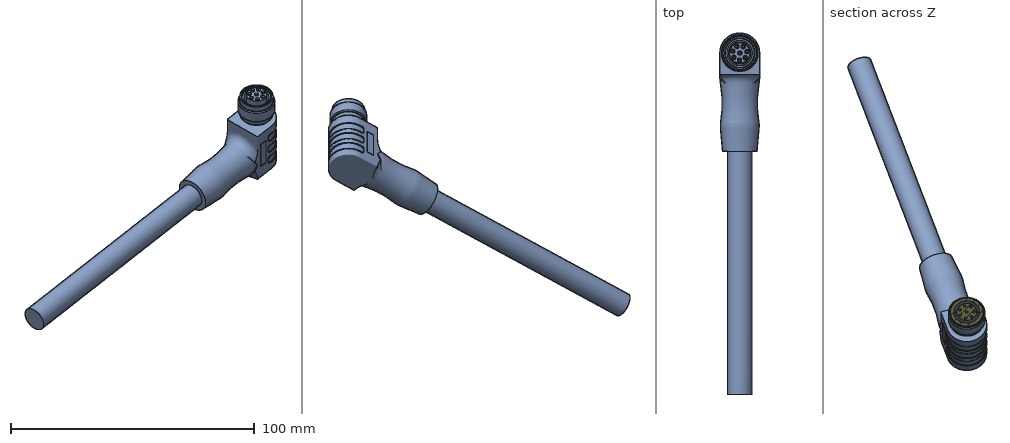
import cadquery as cq
import math

total_length = 148.5
total_height = 36.2

housing_width = 16.5
half_width = housing_width / 2
housing_height = 23.6
housing_front = -8.9
edge_round = 0.3
cable_end = half_width - total_length

grip_depth = 0.5
grip_height = 3.5
grip_pitch = 6.0
grip_middle_z = 11.6
grip_count = 3
grip_front = -2.0
grip_corner = 1.0

panel_depth = 0.1
panel_width = 3.3
panel_height = 12.2
panel_y = -5.2
panel_z = 11.9

cable_radius = 5.0
boot_radius = 8.0
boot_waist_radius = 7.3
boot_end_radius = 7.1
boot_axis_z = boot_radius
flare_radius = 3.4
flare_end = housing_front - flare_radius
flare_relief_half_height = 5.5
waist_y = -20.8
bulge_start = -29.1
bulge_end = -30.5
boot_end = -40.4

coupling_overlap = 1.5
neck_radius = 4.9
nut_foot_radius = 6.1
nut_body_radius = 6.8
nut_grip_radius = 7.5
nut_bottom = 24.5
nut_foot_top = 25.5
nut_grip_bottom = 27.3
nut_grip_top = 33.0
nut_grip_chamfer = 0.5
nut_top = 35.3

bore_radius = 5.2
bore_mouth_radius = 6.2
bore_mouth_chamfer = 0.3
bore_mouth_depth = 0.9
bore_floor = 29.4
insert_radius = 4.2
insert_base_radius = 4.6
insert_taper_top = 30.9

contact_radius = 0.5
contact_mouth_radius = 0.9
contact_depth = 4.5
contact_circle_radius = 3.0
contact_count = 7
contact_start_angle = -92.0


def housing_outline(inset):
    """Plan outline of the housing, shrunk inward by inset."""
    side = half_width - inset
    return (
        cq.Workplane("XY")
        .moveTo(-side, housing_front)
        .lineTo(side, housing_front)
        .lineTo(side, 0)
        .threePointArc((0, side), (-side, 0))
        .close()
    )


def make_housing():
    block = housing_outline(0).extrude(housing_height)
    block = block.faces("<Y").edges("|Z").fillet(edge_round)
    return block.faces("<Z").edges().fillet(edge_round)


def make_grip_grooves():
    """Round-cornered bands that bite grip_depth into the sides and back."""
    core = housing_outline(grip_depth).extrude(housing_height)
    back = half_width + 2 * grip_corner
    groove_length = back - grip_front
    levels = [
        (0, (index - (grip_count - 1) / 2) * grip_pitch)
        for index in range(grip_count)
    ]
    bands = (
        cq.Workplane("YZ")
        .center((back + grip_front) / 2, grip_middle_z)
        .pushPoints(levels)
        .rect(groove_length, grip_height)
        .extrude(housing_width, both=True)
        .edges("|X")
        .fillet(grip_corner)
    )
    return bands.cut(core)


def make_label_recesses():
    return (
        cq.Workplane("XY", origin=(0, 0, panel_z))
        .pushPoints([(-half_width, panel_y), (half_width, panel_y)])
        .box(2 * panel_depth, panel_width, panel_height)
    )


def make_boot():
    """Revolved boot: concave flare, waist, bulge and taper, clipped to the housing width."""
    flare_mid = flare_radius * (1 - math.sqrt(0.5))
    profile = (
        cq.Workplane("XY")
        .moveTo(0, 0)
        .lineTo(boot_radius + flare_radius, 0)
        .lineTo(boot_radius + flare_radius, housing_front)
        .threePointArc(
            (boot_radius + flare_mid, housing_front - flare_mid),
            (boot_radius, flare_end),
        )
        .threePointArc((boot_waist_radius, waist_y), (boot_radius, bulge_start))
        .lineTo(boot_radius, bulge_end)
        .lineTo(boot_end_radius, boot_end)
        .lineTo(0, boot_end)
        .close()
    )
    boot = profile.revolve(360, (0, 0, 0), (0, 1, 0)).translate((0, 0, boot_axis_z))
    envelope_back = housing_front + edge_round
    envelope = cq.Workplane("XY").box(
        housing_width, -boot_end, housing_height, centered=(True, False, False)
    )
    envelope = envelope.translate((0, boot_end + envelope_back, 0))
    return boot.intersect(envelope)


def make_flare_reliefs():
    """V-shaped reliefs that trim the flare back to the boot radius on both sides."""
    wedge = (
        cq.Workplane("YZ")
        .moveTo(housing_front, boot_axis_z)
        .lineTo(flare_end, boot_axis_z + flare_relief_half_height)
        .lineTo(flare_end, boot_axis_z - flare_relief_half_height)
        .close()
        .extrude(housing_width, both=True)
    )
    kept_core = (
        cq.Workplane("XZ", origin=(0, 0, boot_axis_z))
        .circle(boot_radius)
        .extrude(-boot_end)
    )
    return wedge.cut(kept_core)


def make_cable():
    return (
        cq.Workplane("XZ", origin=(0, boot_end, boot_axis_z))
        .circle(cable_radius)
        .extrude(boot_end - cable_end)
    )


def make_coupling():
    """Neck, nut and socket insert as one revolved profile in the radius-height plane."""
    neck_root = housing_height - coupling_overlap
    shoulder_radius = nut_grip_radius - nut_grip_chamfer
    mouth_radius = bore_mouth_radius - bore_mouth_chamfer
    mouth_floor = nut_top - bore_mouth_depth
    points = [
        (0, neck_root),
        (neck_radius, neck_root),
        (neck_radius, nut_bottom),
        (nut_foot_radius, nut_bottom),
        (nut_body_radius, nut_foot_top),
        (nut_body_radius, nut_grip_bottom),
        (shoulder_radius, nut_grip_bottom),
        (nut_grip_radius, nut_grip_bottom + nut_grip_chamfer),
        (nut_grip_radius, nut_grip_top - nut_grip_chamfer),
        (shoulder_radius, nut_grip_top),
        (nut_body_radius, nut_grip_top),
        (nut_body_radius, nut_top),
        (bore_mouth_radius, nut_top),
        (mouth_radius, nut_top - bore_mouth_chamfer),
        (mouth_radius, mouth_floor),
        (bore_radius, mouth_floor),
        (bore_radius, bore_floor),
        (insert_base_radius, bore_floor),
        (insert_radius, insert_taper_top),
        (insert_radius, total_height),
        (0, total_height),
    ]
    profile = cq.Workplane("XZ").polyline(points).close()
    return profile.revolve(360, (0, 0, 0), (0, 1, 0))


def make_contact_holes():
    positions = [(0, 0)]
    for index in range(contact_count):
        angle = math.radians(contact_start_angle + index * 360 / contact_count)
        positions.append(
            (contact_circle_radius * math.cos(angle), contact_circle_radius * math.sin(angle))
        )
    mouth_depth = contact_mouth_radius - contact_radius
    hole_profile = (
        cq.Workplane("XZ")
        .polyline(
            [
                (0, 0),
                (contact_mouth_radius, 0),
                (contact_radius, -mouth_depth),
                (contact_radius, -contact_depth),
                (0, -contact_depth),
            ]
        )
        .close()
    )
    hole = hole_profile.revolve(360, (0, 0, 0), (0, 1, 0)).val()
    return (
        cq.Workplane("XY", origin=(0, 0, total_height))
        .pushPoints(positions)
        .eachpoint(hole, combine=True)
    )


housing = make_housing().cut(make_grip_grooves()).cut(make_label_recesses())
coupling = make_coupling().cut(make_contact_holes())
boot = make_boot().cut(make_flare_reliefs())
result = housing.union(boot).union(make_cable()).union(coupling)